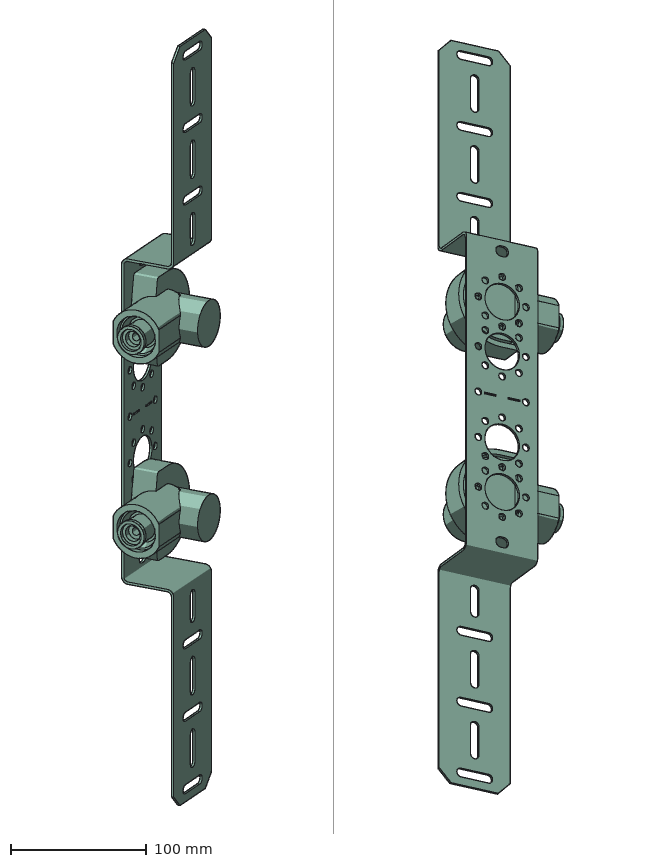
import cadquery as cq
import math

BRACKET_LENGTH = 597.0
BRACKET_WIDTH = 60.0
SHEET = 2.0
BEND_INNER_R = 3.5
BEND_OUTER_R = BEND_INNER_R + SHEET
BRACKET_DEPTH = 43.5
WEB_HALF_LENGTH = 128.0
END_CORNER_CUT = 10.0

SLOT_LENGTH = 30.0
SLOT_WIDTH = 7.0
SLOT_PITCH = 57.0
CROSS_SLOT_Z = 288.5
LONG_SLOT_Z = CROSS_SLOT_Z - SLOT_PITCH / 2
SLOT_ROWS = 3
BEND_SLOT_LENGTH = 25.5

FITTING_Z = 76.5
RING_R = 20.0
RING_HOLES = 8
RING_HOLE_D = 5.5
RING_CENTRE_D = 29.0
INNER_RING_Z = FITTING_Z - 2 * RING_R
MOUNT_HOLE_Z = 117.0
MOUNT_HOLE_LENGTH = 10.5
MOUNT_HOLE_WIDTH = 8.5
CENTRE_SLIT_LENGTH = 9.5
CENTRE_SLIT_WIDTH = 1.2
CENTRE_SLIT_Y = 10.0

OVERALL_WIDTH = 93.2
BARREL_AXIS_X = 22.7
BASE_REAR_X = 3.0
BASE_R = 35.0
BASE_TOP_X = BARREL_AXIS_X
BASE_CORNER_Y = -16.0
BASE_CORNER_R = 2.5
BASE_NOSE_ANGLE = 10.0
BASE_WALL = 4.0
BASE_GROOVE_WIDTH = 2.0
BASE_GROOVE_DEPTH = 10.0
SCREW_BOSS_D = 9.0
SCREW_HOLE_D = 3.0
SCREW_HOLE_DEPTH = 10.0
BARREL_R = 21.0
BARREL_FLAT = 19.0
BARREL_END_Y = -50.0
RELIEF_Y = -12.6
RELIEF_WIDTH = 2 * math.sqrt(BARREL_R**2 - BARREL_FLAT**2)
BARREL_BORE_R = 16.0
BARREL_BORE_DEPTH = 5.0
SEAT_OUTER_R = 14.5
SEAT_INNER_R = 12.0
SEAT_DEPTH = 6.0
NOZZLE_END_Y = BASE_R - OVERALL_WIDTH
NOZZLE_NECK_R = 10.0
NOZZLE_COLLAR_R = 11.0
NOZZLE_COLLAR_LENGTH = 3.0
NOZZLE_BORE_R = 8.5
NOZZLE_BORE_DEPTH = 3.0
PIPE_STEP_R = 6.0
PIPE_STEP_DEPTH = 8.0
PIPE_R = 3.0
OUTLET_R = 18.0
OUTLET_END_X = 57.0


def bent_strip():
    """Hat-shaped strip: web at X = 0, two legs, two end flanges."""
    half = BRACKET_LENGTH / 2
    flange_x = BRACKET_DEPTH - SHEET
    leg_inner_z = WEB_HALF_LENGTH - SHEET
    upper = [
        (0, WEB_HALF_LENGTH), (flange_x, WEB_HALF_LENGTH), (flange_x, half),
        (BRACKET_DEPTH, half), (BRACKET_DEPTH, leg_inner_z), (SHEET, leg_inner_z),
    ]
    lower = [(x, -z) for x, z in reversed(upper)]
    strip = cq.Workplane("XZ").polyline(upper + lower).close().extrude(BRACKET_WIDTH / 2, both=True)
    for side in (1, -1):
        inner_z = side * leg_inner_z
        outer_z = side * WEB_HALF_LENGTH
        bends = [
            (0, outer_z, BEND_OUTER_R), (SHEET, inner_z, BEND_INNER_R),
            (flange_x, outer_z, BEND_INNER_R), (BRACKET_DEPTH, inner_z, BEND_OUTER_R),
        ]
        for x, z, radius in bends:
            strip = strip.edges(cq.selectors.NearestToPointSelector((x, 0, z))).fillet(radius)
    return strip.edges("|X and (>Z or <Z)").chamfer(END_CORNER_CUT)


def cutter(points):
    """Cutter positions (Y, Z) on a plane just behind the web, facing +X."""
    return cq.Workplane("YZ").workplane(offset=-SHEET).pushPoints(points)


def flange_slots():
    """Slots along and across the two end flanges."""
    reach = BRACKET_DEPTH + 2 * SHEET
    bend_slot_end = LONG_SLOT_Z - (SLOT_ROWS - 1) * SLOT_PITCH + SLOT_LENGTH / 2
    bend_slot_z = bend_slot_end - BEND_SLOT_LENGTH / 2
    across = []
    along = []
    for side in (1, -1):
        across += [(0, side * (CROSS_SLOT_Z - row * SLOT_PITCH)) for row in range(SLOT_ROWS)]
        along += [(0, side * (LONG_SLOT_Z - row * SLOT_PITCH)) for row in range(SLOT_ROWS - 1)]
    slots = cutter(across).slot2D(SLOT_LENGTH, SLOT_WIDTH).extrude(reach)
    slots = slots.union(cutter(along).slot2D(SLOT_LENGTH, SLOT_WIDTH, 90).extrude(reach))
    beside_bend = cutter([(0, bend_slot_z), (0, -bend_slot_z)])
    return slots.union(beside_bend.slot2D(BEND_SLOT_LENGTH, SLOT_WIDTH, 90).extrude(reach))


def web_holes():
    """Rings of holes, centre slits and mounting slots in the web."""
    depth = 2 * SHEET
    ring_centres = [(0, z) for z in (FITTING_Z, INNER_RING_Z, -INNER_RING_Z, -FITTING_Z)]
    holes = cutter(ring_centres).circle(RING_CENTRE_D / 2).extrude(depth)
    for _, z in ring_centres:
        ring = cq.Workplane("YZ", origin=(-SHEET, 0, z)).polarArray(RING_R, 0, 360, RING_HOLES)
        holes = holes.union(ring.circle(RING_HOLE_D / 2).extrude(depth))
    centre_pair = cutter([(RING_R, 0), (-RING_R, 0)])
    holes = holes.union(centre_pair.circle(RING_HOLE_D / 2).extrude(depth))
    slits = cutter([(CENTRE_SLIT_Y, 0), (-CENTRE_SLIT_Y, 0)])
    holes = holes.union(slits.rect(CENTRE_SLIT_LENGTH, CENTRE_SLIT_WIDTH).extrude(depth))
    mounts = cutter([(0, MOUNT_HOLE_Z), (0, -MOUNT_HOLE_Z)])
    return holes.union(mounts.slot2D(MOUNT_HOLE_LENGTH, MOUNT_HOLE_WIDTH).extrude(depth))


def base_prism(inset, height):
    """Base footprint: half round at +Y, straight sides, shallow V nose at -Y."""
    radius = BASE_R - inset
    corner_y = BASE_CORNER_Y + inset
    nose_y = corner_y - radius * math.tan(math.radians(BASE_NOSE_ANGLE))
    return (
        cq.Workplane("YZ").workplane(offset=BASE_REAR_X)
        .moveTo(0, radius).threePointArc((radius, 0), (0, -radius))
        .lineTo(corner_y, -radius).lineTo(nose_y, 0).lineTo(corner_y, radius).close()
        .extrude(height)
    )


def along_y(radius, y_start, y_end):
    """Cylinder on the barrel axis between two Y positions."""
    plane = cq.Workplane("XZ", origin=(BARREL_AXIS_X, y_start, 0))
    return plane.circle(radius).extrude(y_start - y_end)


def fitting_base():
    """Base with a rear groove, screw bosses and a relief behind the barrel flat."""
    height = BASE_TOP_X - BASE_REAR_X
    base = base_prism(0, height)
    for side in (1, -1):
        corner = (BASE_REAR_X + height / 2, BASE_CORNER_Y, side * BASE_R)
        base = base.edges(cq.selectors.NearestToPointSelector(corner)).fillet(BASE_CORNER_R)
    groove = base_prism(BASE_WALL, BASE_GROOVE_DEPTH)
    groove = groove.cut(base_prism(BASE_WALL + BASE_GROOVE_WIDTH, BASE_GROOVE_DEPTH))
    relief_depth = BARREL_AXIS_X - BARREL_FLAT
    relief = cq.Workplane("XY").box(relief_depth, BASE_R, RELIEF_WIDTH, centered=(False, False, True))
    base = base.cut(groove).cut(relief.translate((0, RELIEF_Y - BASE_R, 0)))
    screws = (
        cq.Workplane("YZ").workplane(offset=SHEET)
        .pushPoints([(RING_R, 0), (0, RING_R), (0, -RING_R)])
    )
    bosses = screws.circle(SCREW_BOSS_D / 2).extrude(SCREW_HOLE_DEPTH)
    return base.union(bosses).cut(screws.circle(SCREW_HOLE_D / 2).extrude(SCREW_HOLE_DEPTH))


def barrel_bore():
    """Round recess in the barrel end with a conical seat in its floor."""
    floor_y = BARREL_END_Y + BARREL_BORE_DEPTH
    recess = along_y(BARREL_BORE_R, floor_y, BARREL_END_Y)
    seat = (
        cq.Workplane("XZ", origin=(BARREL_AXIS_X, floor_y, 0)).circle(SEAT_OUTER_R)
        .workplane(offset=-SEAT_DEPTH).circle(SEAT_INNER_R).loft()
    )
    return recess.union(seat)


def nozzle():
    """Necked spigot with an end collar, standing in the barrel bore."""
    neck = along_y(NOZZLE_NECK_R, BARREL_END_Y + BARREL_BORE_DEPTH + SEAT_DEPTH, NOZZLE_END_Y)
    collar = along_y(NOZZLE_COLLAR_R, NOZZLE_END_Y + NOZZLE_COLLAR_LENGTH, NOZZLE_END_Y)
    return neck.union(collar)


def fitting():
    """Wall elbow: base, barrel toward -Y and outlet toward +X."""
    barrel = along_y(BARREL_R, 0, BARREL_END_Y)
    flats = cq.Workplane("XY").box(2 * BARREL_FLAT, -2 * BARREL_END_Y, 2 * BARREL_R)
    barrel = barrel.intersect(flats.translate((BARREL_AXIS_X, 0, 0)))
    outlet = cq.Workplane("YZ").workplane(offset=BARREL_AXIS_X).circle(OUTLET_R)
    body = fitting_base().union(barrel).union(outlet.extrude(OUTLET_END_X - BARREL_AXIS_X))
    body = body.cut(barrel_bore()).union(nozzle())
    pipe_depth = -NOZZLE_END_Y
    bores = [
        (NOZZLE_BORE_R, NOZZLE_BORE_DEPTH), (PIPE_STEP_R, PIPE_STEP_DEPTH), (PIPE_R, pipe_depth),
    ]
    for radius, depth in bores:
        body = body.cut(along_y(radius, NOZZLE_END_Y + depth, NOZZLE_END_Y))
    return body


result = bent_strip().cut(flange_slots()).cut(web_holes())
for side in (1, -1):
    result = result.union(fitting().translate((0, 0, side * FITTING_Z)))